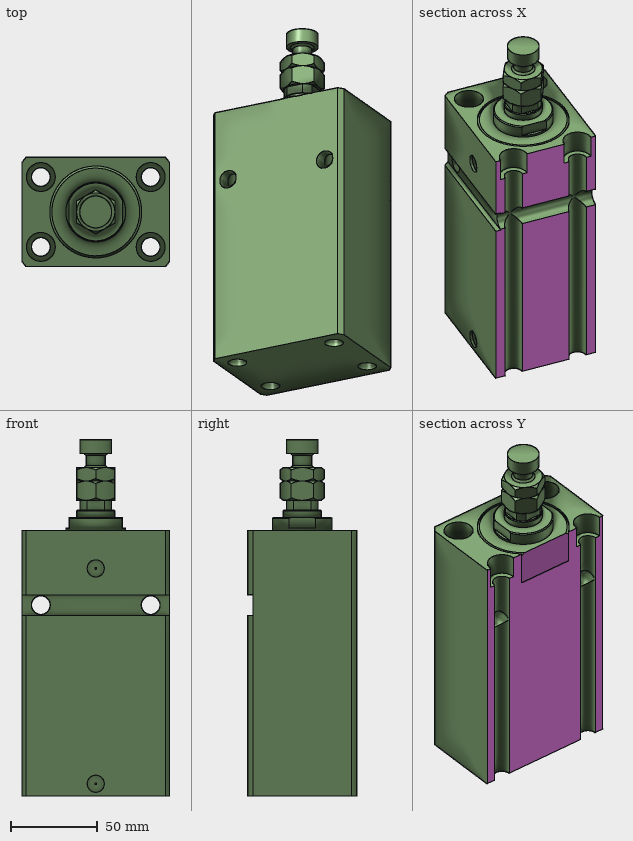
import cadquery as cq
import math

width = 85.0
depth = 63.0
overall_height = 205.0
housing_height = 152.9
corner_x = 2.5
corner_y = 3.0

slot_width = 11.9
slot_depth = 3.0
slot_below_top = 43.0
slot_z = housing_height - slot_below_top

bolt_diameter = 10.7
counterbore_diameter = 16.5
counterbore_depth = 13.3
bolt_spacing_x = 63.1
bolt_spacing_y = 40.2

port_diameter = 9.8
port_depth = 1.6
port_drill_diameter = 1.0
port_drill_depth = 4.0
lower_port_z = 7.2
upper_port_below_top = 22.0
port_heights = (lower_port_z, housing_height - upper_port_below_top)

gland_diameter = 52.9
gland_chamfer = 1.2
gland_depth = 20.5

rod_diameter = 34.5
rod_flats = 30.7
rod_height = 7.4
rod_rim = 1.2
rod_chamfer = 0.6

boss_diameter = 22.0
boss_height = 4.3
boss_chamfer = 0.51
square_flats = 18.2
square_diameter = 2 * (boss_diameter / 2 - boss_chamfer)
square_height = 5.5
hex_flats = 22.0
lower_hex_height = 11.0
upper_hex_height = 7.8
hex_chamfer = 1.5
neck_diameter = 11.0
neck_height = 8.0
neck_flare = 1.2
head_diameter = 18.2

rod_top = housing_height + rod_height
gland_base = housing_height - gland_depth


def cylinder(diameter, height, base_z):
    return cq.Workplane("XY").workplane(offset=base_z).circle(diameter / 2).extrude(height)


def bored_from_front(diameter, length, x, z):
    """Cylinder running in +Y from the -Y face."""
    front = cq.Workplane("XZ", origin=(x, -depth / 2, z))
    return front.circle(diameter / 2).extrude(-length)


def make_housing():
    half_x = width / 2
    half_y = depth / 2
    inner_x = half_x - corner_x
    inner_y = half_y - corner_y
    outline = [
        (-inner_x, -half_y), (inner_x, -half_y), (half_x, -inner_y), (half_x, inner_y),
        (inner_x, half_y), (-inner_x, half_y), (-half_x, inner_y), (-half_x, -inner_y),
    ]
    body = cq.Workplane("XY").polyline(outline).close().extrude(housing_height)

    slot = cq.Workplane("XY").box(width, 2 * slot_depth, slot_width)
    body = body.cut(slot.translate((0, -half_y, slot_z)))

    body = (
        body.faces(">Z").workplane(origin=(0, 0, housing_height))
        .rarray(bolt_spacing_x, bolt_spacing_y, 2, 2)
        .cboreHole(bolt_diameter, counterbore_diameter, counterbore_depth)
    )
    for x in (-bolt_spacing_x / 2, bolt_spacing_x / 2):
        body = body.cut(bored_from_front(bolt_diameter, depth, x, slot_z))

    for z in port_heights:
        body = body.cut(bored_from_front(port_diameter, port_depth, 0, z))
        body = body.cut(bored_from_front(port_drill_diameter, port_drill_depth, 0, z))

    return body.cut(cylinder(gland_diameter, gland_depth, gland_base))


def make_gland():
    disc = cylinder(gland_diameter, gland_depth, gland_base)
    disc = disc.faces(">Z").chamfer(gland_chamfer)
    return disc.cut(cylinder(rod_diameter, gland_depth, gland_base))


def make_rod():
    rod = cylinder(rod_diameter, gland_depth + rod_height, gland_base)
    rod = rod.faces(">Z").chamfer(rod_chamfer)
    lower = cylinder(rod_diameter, gland_depth + rod_rim, gland_base)
    flats_height = rod_height - rod_rim
    flats = cq.Workplane("XY").box(rod_flats, rod_diameter, flats_height)
    flats = flats.translate((0, 0, rod_top - flats_height / 2))
    return rod.intersect(lower.union(flats))


def make_hex(height, base_z):
    """Hexagon with corners on the Y axis and both ends turned to a cone."""
    corner_diameter = hex_flats / math.cos(math.pi / 6)
    prism = (
        cq.Workplane("XY").workplane(offset=base_z)
        .transformed(rotate=(0, 0, 90)).polygon(6, corner_diameter).extrude(height)
    )
    corner_cut = (corner_diameter - hex_flats) / 2
    turned = cylinder(corner_diameter, height, base_z)
    turned = turned.faces("<Z").chamfer(hex_chamfer, corner_cut)
    turned = turned.faces(">Z").chamfer(hex_chamfer, corner_cut)
    return prism.intersect(turned)


def make_coupling():
    square_z = rod_top + boss_height
    lower_hex_z = square_z + square_height
    upper_hex_z = lower_hex_z + lower_hex_height
    neck_z = upper_hex_z + upper_hex_height
    head_z = neck_z + neck_height

    boss = cylinder(boss_diameter, boss_height, rod_top).faces(">Z").chamfer(boss_chamfer)
    square = cq.Workplane("XY").workplane(offset=square_z).rect(square_flats, square_flats)
    square = square.extrude(square_height)
    square = square.intersect(cylinder(square_diameter, square_height, square_z))

    neck_radius = neck_diameter / 2
    flare_radius = neck_radius + neck_flare
    head_radius = head_diameter / 2
    stem_profile = [
        (0, neck_z), (flare_radius, neck_z), (neck_radius, neck_z + neck_flare),
        (neck_radius, head_z - neck_flare), (flare_radius, head_z), (head_radius, head_z),
        (head_radius, overall_height), (0, overall_height),
    ]
    stem = cq.Workplane("XZ").polyline(stem_profile).close().revolve(360, (0, 0), (0, 1))

    coupling = boss.union(square)
    coupling = coupling.union(make_hex(lower_hex_height, lower_hex_z))
    coupling = coupling.union(make_hex(upper_hex_height, upper_hex_z))
    return coupling.union(stem)


housing = make_housing().solids()
gland = make_gland().solids()
rod = make_rod().solids()
coupling = make_coupling().solids()

result = cq.Compound.makeCompound([housing.val(), gland.val(), rod.val(), coupling.val()])